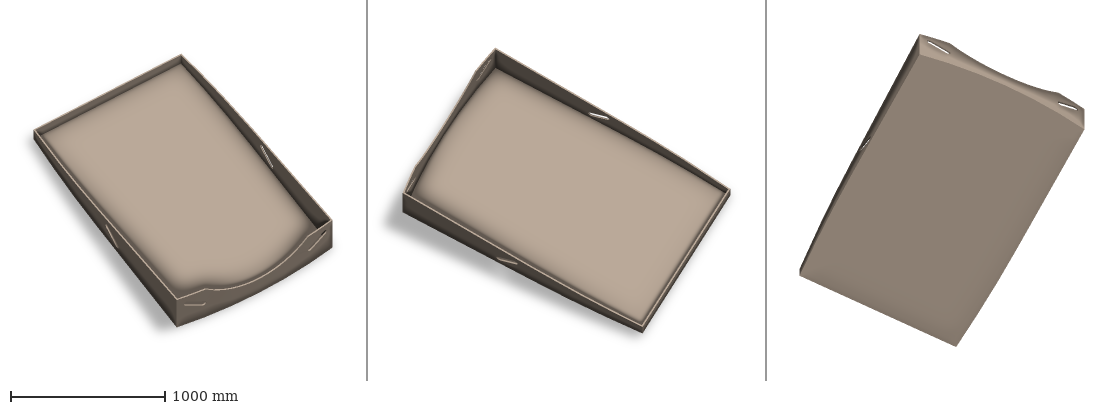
import cadquery as cq
import math

length = 1831.0
width = 1200.0
height = 300.0
wall = 10.0
floor_thickness = 10.0

front_width = 1139.0
taper_length = 808.0
side_end = 1780.0

front_height = 100.0

scallop_width = 787.0
scallop_depth = 150.0

slot_width = 40.0
slot_spacing = 137.0
slot_tilt = 30.0
side_slot_x = 998.0
side_slot_z = 103.0
rear_slot_y = 470.0
rear_slot_z = 192.0


def taper_midpoint():
    """Point halfway along the +Y side arc, whose centre lies at X = taper_length."""
    inset = (width - front_width) / 2
    radius = (taper_length**2 + inset**2) / (2 * inset)
    half_angle = math.asin(taper_length / radius) / 2
    x = taper_length - radius * math.sin(half_angle)
    y = width / 2 - radius * (1 - math.cos(half_angle))
    return x, y


def plan_outline():
    """Closed outline: curved front sides tangent to the straight sides, and a bowed rear."""
    half = width / 2
    front_half = front_width / 2
    return (
        cq.Workplane("XY")
        .moveTo(taper_length, half)
        .lineTo(side_end, half)
        .threePointArc((length, 0), (side_end, -half))
        .lineTo(taper_length, -half)
        .tangentArcPoint((0, -front_half), relative=False)
        .lineTo(0, front_half)
        .threePointArc(taper_midpoint(), (taper_length, half))
        .close()
    )


def tray():
    """Full-height walls around a flat floor."""
    outer = plan_outline().extrude(height)
    cavity = plan_outline().offset2D(-wall, "intersection").extrude(height)
    return outer.cut(cavity.translate((0, 0, floor_thickness)))


def slope_cutter():
    """Wedge that lowers the walls from the rear corners to the front."""
    return (
        cq.Workplane("XZ")
        .polyline([(0, front_height), (side_end, height), (0, height)])
        .close()
        .extrude(width / 2, both=True)
    )


def scallop_cutter():
    """Circular segment cut through the rear wall only."""
    half_chord = scallop_width / 2
    rear_start = side_end - wall
    return (
        cq.Workplane("YZ", origin=(rear_start, 0, height))
        .moveTo(-half_chord, 0)
        .threePointArc((0, -scallop_depth), (half_chord, 0))
        .close()
        .extrude(length - rear_start)
    )


def side_slot_cutter():
    """One slot passing through both side walls, falling towards the rear."""
    return (
        cq.Workplane("XZ")
        .center(side_slot_x, side_slot_z)
        .slot2D(slot_spacing + slot_width, slot_width, -slot_tilt)
        .extrude(width / 2, both=True)
    )


def rear_slot_cutter(side):
    """Slot through the rear wall, rising outwards; side is +1 for +Y or -1 for -Y."""
    rear_start = side_end - 2 * wall
    return (
        cq.Workplane("YZ", origin=(rear_start, 0, 0))
        .center(side * rear_slot_y, rear_slot_z)
        .slot2D(slot_spacing + slot_width, slot_width, side * slot_tilt)
        .extrude(length - rear_start)
    )


result = tray().cut(slope_cutter()).cut(scallop_cutter()).cut(side_slot_cutter())
for side in (1, -1):
    result = result.cut(rear_slot_cutter(side))